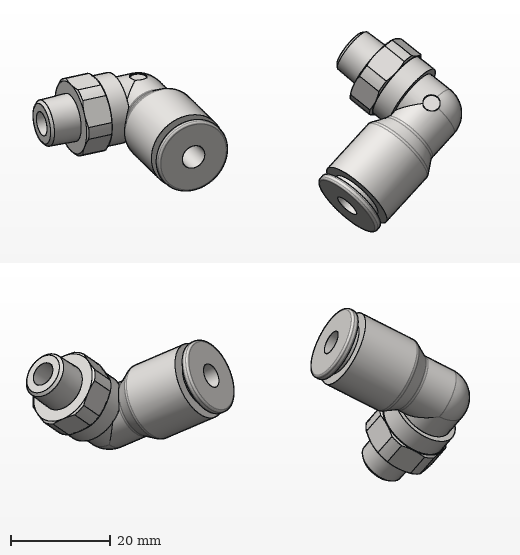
import cadquery as cq
import math


elbow_radius = 6.1
bore_radius = 2.5
badge_radius = 1.75
badge_floor_z = 5.6

cone_start_x = 7.11
cone_angle = math.radians(30)
socket_radius = 8.0
socket_end_x = 23.2
cone_blend_radius = 1.2

release_neck_radius = 5.63
flange_start_x = 24.6
flange_end_x = 26.19
flange_radius = 7.75
flange_fillet = 0.45

swivel_start_y = -5.17
swivel_radius = 7.3
hex_start_y = -9.3
hex_end_y = -15.04
hex_sides = 6
hex_across_flats = 15.0
hex_corner_radius = 8.0
hex_chamfer_angle = math.radians(30)

thread_end_y = -21.5
thread_gauge_y = -18.5
thread_gauge_radius = 4.864
thread_taper = 1 / 32
thread_chamfer = 0.6


def cylinder_x(radius, start_x, end_x):
    return cq.Workplane("YZ", origin=(start_x, 0, 0)).circle(radius).extrude(end_x - start_x)


def cylinder_y(radius, start_y, end_y):
    """Cylinder along Y, from start_y down to end_y."""
    return cq.Workplane("XZ", origin=(0, start_y, 0)).circle(radius).extrude(start_y - end_y)


def elbow_bend(radius, end_x, end_y):
    """Two mitred cylinders whose outer corner is a ball."""
    ball = cq.Workplane("XY").sphere(radius)
    return ball.union(cylinder_x(radius, 0, end_x)).union(cylinder_y(radius, 0, end_y))


def tube_socket():
    """Turned body along X: neck, blended cone and socket barrel."""
    tangent = cone_blend_radius * math.tan(cone_angle / 2)
    along = tangent * math.cos(cone_angle)
    across = tangent * math.sin(cone_angle)
    cone_end_x = cone_start_x + (socket_radius - elbow_radius) / math.tan(cone_angle)
    mid_along = cone_blend_radius * math.sin(cone_angle / 2)
    mid_across = cone_blend_radius * (1 - math.cos(cone_angle / 2))
    neck_tangent_x = cone_start_x - tangent
    barrel_tangent_x = cone_end_x + tangent
    return (
        cq.Workplane("XY")
        .moveTo(0, 0)
        .lineTo(0, elbow_radius)
        .lineTo(neck_tangent_x, elbow_radius)
        .threePointArc(
            (neck_tangent_x + mid_along, elbow_radius + mid_across),
            (cone_start_x + along, elbow_radius + across),
        )
        .lineTo(cone_end_x - along, socket_radius - across)
        .threePointArc(
            (barrel_tangent_x - mid_along, socket_radius - mid_across),
            (barrel_tangent_x, socket_radius),
        )
        .lineTo(socket_end_x, socket_radius)
        .lineTo(socket_end_x, 0)
        .close()
        .revolve(axisStart=(0, 0), axisEnd=(1, 0))
    )


def release_collar():
    neck = cylinder_x(release_neck_radius, socket_end_x, flange_start_x)
    flange = cylinder_x(flange_radius, flange_start_x, flange_end_x).edges().fillet(flange_fillet)
    return neck.union(flange)


def hexagon():
    """Hexagon with flats facing +Z and -Z, rounded corners and chamfered ends."""
    length = hex_start_y - hex_end_y
    hex_across_corners = hex_across_flats / math.cos(math.pi / hex_sides)
    prism = (
        cq.Workplane("XZ", origin=(0, hex_start_y, 0))
        .polygon(hex_sides, hex_across_corners)
        .extrude(length)
    )
    face_radius = hex_across_flats / 2
    chamfer_length = (hex_corner_radius - face_radius) * math.tan(hex_chamfer_angle)
    turned_blank = (
        cq.Workplane("XY")
        .moveTo(0, hex_start_y)
        .lineTo(face_radius, hex_start_y)
        .lineTo(hex_corner_radius, hex_start_y - chamfer_length)
        .lineTo(hex_corner_radius, hex_end_y + chamfer_length)
        .lineTo(face_radius, hex_end_y)
        .lineTo(0, hex_end_y)
        .close()
        .revolve(axisStart=(0, 0), axisEnd=(0, 1))
    )
    return prism.intersect(turned_blank)


def thread_radius(y):
    return thread_gauge_radius + (y - thread_gauge_y) * thread_taper


def taper_thread():
    """Plain tapered stem in place of the thread, chamfered at its free end."""
    chamfer_y = thread_end_y + thread_chamfer
    tip_radius = thread_radius(chamfer_y) - thread_chamfer
    return (
        cq.Workplane("XY")
        .moveTo(0, hex_end_y)
        .lineTo(thread_radius(hex_end_y), hex_end_y)
        .lineTo(thread_radius(chamfer_y), chamfer_y)
        .lineTo(tip_radius, thread_end_y)
        .lineTo(0, thread_end_y)
        .close()
        .revolve(axisStart=(0, 0), axisEnd=(0, 1))
    )


def badge_recess():
    """Round flat-bottomed recess on top of the elbow."""
    depth = elbow_radius - badge_floor_z
    return cq.Workplane("XY", origin=(0, 0, badge_floor_z)).circle(badge_radius).extrude(depth)


body = elbow_bend(elbow_radius, cone_start_x, swivel_start_y)
body = body.union(tube_socket())
body = body.union(release_collar())
body = body.union(cylinder_y(swivel_radius, swivel_start_y, hex_start_y))
body = body.union(hexagon())
body = body.union(taper_thread())

flow_passage = elbow_bend(bore_radius, flange_end_x, thread_end_y)

result = body.cut(badge_recess()).cut(flow_passage)